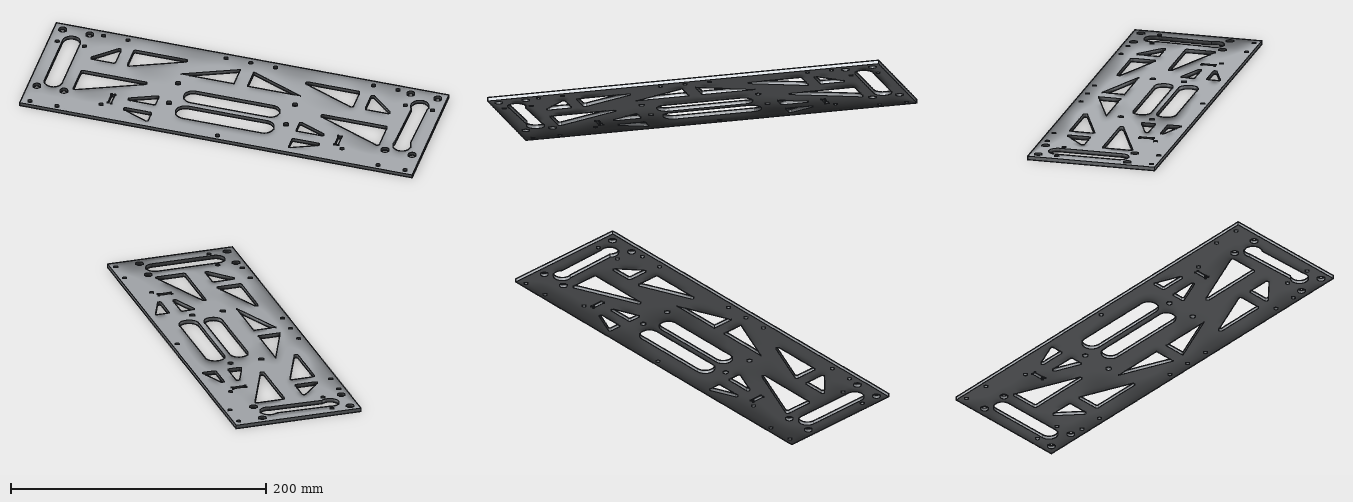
import cadquery as cq

LENGTH = 320.0
WIDTH = 103.0
THICKNESS = 3.0

LARGE_HOLE_DIAMETER = 6.0
MEDIUM_HOLE_DIAMETER = 4.0
SMALL_HOLE_DIAMETER = 3.2
END_OUTER_X = 153.0
END_INNER_X = 131.0
LARGE_HOLE_YS = (44.8, -27.5)
BOTTOM_ROW_Y = -47.0
END_SMALL_HOLE_YS = (29.8, BOTTOM_ROW_Y)
MEDIUM_HOLE_X = 47.7
MEDIUM_HOLE_YS = (6.5, -19.0)
TOP_ROW_Y = 46.5
TOP_ROW_XS = (20.0, 100.0, 120.0)
SIDE_HOLE = (98.2, -35.5)

END_SLOT_X = 142.0
END_SLOT_Y = 6.7
END_SLOT_LENGTH = 64.5
END_SLOT_WIDTH = 14.5
WAIST_WIDTH = 12.0
WAIST_TILT = 1.5

MIDDLE_SLOTS = ((-6.7, 78.0, 14.7), (-26.5, 80.0, 15.7))

RELIEF_SLOT_CENTRE = (92.5, -26.5)
RELIEF_SLOT_WIDTH = 3.0
RELIEF_SLOT_LENGTH = 11.0
RELIEF_RADIUS = 0.5

WINDOW_SLOPE = 0.42
WINDOW_CORNER_RADIUS = 1.5

SLOPED_WINDOWS = (
    (92.0, 36.0, 42.0, -1, WINDOW_CORNER_RADIUS),
    (5.5, 18.0, 48.5, 1, 0),
    (124.8, 0.5, 64.5, -1, WINDOW_CORNER_RADIUS),
)

STEEP_WINDOW_CORNER = (101.8, 16.0)
STEEP_WINDOW_WIDTH = 22.7
STEEP_WINDOW_HEIGHT = 20.5

SMALL_WINDOW_INNER_X = 57.3
SMALL_WINDOW_OUTER_X = 79.7
SMALL_WINDOW_BASE_Y = -24.5
SMALL_WINDOW_OUTER_HEIGHT = 2.5
SMALL_WINDOW_CORNER_RADIUS = 1.3
SMALL_WINDOW_MIRROR_Y = -29.5


def prism(sketch):
    return sketch.extrude(THICKNESS)


def both_sides(cutter):
    return cutter.union(cutter.mirror("YZ"))


def round_holes(centres, diameter):
    return prism(cq.Workplane("XY").pushPoints(centres).circle(diameter / 2))


def slot(centre, length, width, angle=0):
    return prism(cq.Workplane("XY").center(*centre).slot2D(length, width, angle))


def window(corners, corner_radius):
    body = prism(cq.Workplane("XY").polyline(corners).close())
    if corner_radius:
        body = body.edges("|Z").fillet(corner_radius)
    return body


def sloped_window(square_x, square_y, tip_x, direction, corner_radius):
    leg = direction * WINDOW_SLOPE * abs(tip_x - square_x)
    corners = [(square_x, square_y), (tip_x, square_y), (square_x, square_y + leg)]
    return window(corners, corner_radius)


def steep_window():
    x, y = STEEP_WINDOW_CORNER
    corners = [(x, y), (x + STEEP_WINDOW_WIDTH, y), (x, y + STEEP_WINDOW_HEIGHT)]
    return window(corners, WINDOW_CORNER_RADIUS)


def waisted_end_slot():
    """End slot with round ends joined by a narrower, slightly tilted waist."""
    end_offset = (END_SLOT_LENGTH - END_SLOT_WIDTH) / 2
    ends = [(END_SLOT_X, END_SLOT_Y + end_offset), (END_SLOT_X, END_SLOT_Y - end_offset)]
    waist = prism(cq.Workplane("XY").rect(WAIST_WIDTH, 2 * end_offset))
    waist = waist.rotate((0, 0, 0), (0, 0, 1), -WAIST_TILT).translate((END_SLOT_X, END_SLOT_Y, 0))
    return round_holes(ends, END_SLOT_WIDTH).union(waist)


def relief_slot():
    centre = cq.Workplane("XY").center(*RELIEF_SLOT_CENTRE)
    body = prism(centre.rect(RELIEF_SLOT_WIDTH, RELIEF_SLOT_LENGTH))
    corners = centre.rect(RELIEF_SLOT_WIDTH, RELIEF_SLOT_LENGTH, forConstruction=True).vertices()
    return body.union(prism(corners.circle(RELIEF_RADIUS)))


def small_window():
    outer_y = SMALL_WINDOW_BASE_Y + SMALL_WINDOW_OUTER_HEIGHT
    inner_y = outer_y + WINDOW_SLOPE * (SMALL_WINDOW_OUTER_X - SMALL_WINDOW_INNER_X)
    corners = [
        (SMALL_WINDOW_INNER_X, SMALL_WINDOW_BASE_Y),
        (SMALL_WINDOW_OUTER_X, SMALL_WINDOW_BASE_Y),
        (SMALL_WINDOW_OUTER_X, outer_y),
        (SMALL_WINDOW_INNER_X, inner_y),
    ]
    return window(corners, SMALL_WINDOW_CORNER_RADIUS)


plate = cq.Workplane("XY").box(LENGTH, WIDTH, THICKNESS, centered=(True, True, False))

end_xs = (END_OUTER_X, END_INNER_X)
small_centres = [(x, y) for x in end_xs for y in END_SMALL_HOLE_YS]
small_centres += [(x, TOP_ROW_Y) for x in TOP_ROW_XS]
small_centres.append(SIDE_HOLE)
upper_window = small_window()

mirrored_cutters = [
    round_holes([(x, y) for x in end_xs for y in LARGE_HOLE_YS], LARGE_HOLE_DIAMETER),
    round_holes([(MEDIUM_HOLE_X, y) for y in MEDIUM_HOLE_YS], MEDIUM_HOLE_DIAMETER),
    round_holes(small_centres, SMALL_HOLE_DIAMETER),
    relief_slot(),
    steep_window(),
    upper_window,
    upper_window.mirror("XZ", (0, SMALL_WINDOW_MIRROR_Y, 0)),
]
mirrored_cutters += [sloped_window(*sizes) for sizes in SLOPED_WINDOWS]
for cutter in mirrored_cutters:
    plate = plate.cut(both_sides(cutter))

plate = plate.cut(round_holes([(0, TOP_ROW_Y), (0, BOTTOM_ROW_Y)], SMALL_HOLE_DIAMETER))
for slot_y, slot_length, slot_width in MIDDLE_SLOTS:
    plate = plate.cut(slot((0, slot_y), slot_length, slot_width))
plate = plate.cut(slot((-END_SLOT_X, END_SLOT_Y), END_SLOT_LENGTH, END_SLOT_WIDTH, 90))
plate = plate.cut(waisted_end_slot())

result = plate